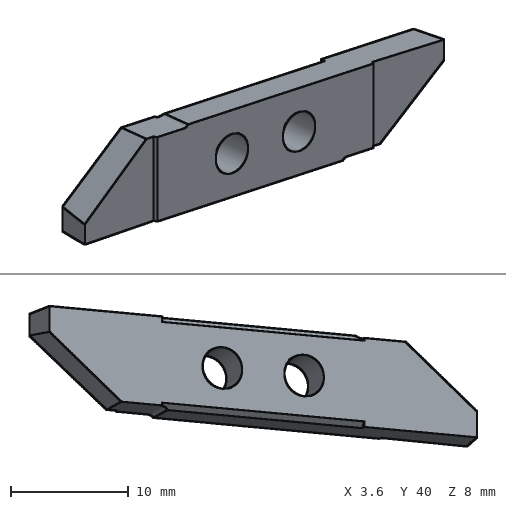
import cadquery as cq
import math

length = 40.0
thickness = 3.6
height = 8.0

ledge_depth = 0.25
ledge_step_start = 8.6
ledge_step_end = 9.1
slope_start = 13.0
slope_angle = 40.0

end_setback = 0.45
relief_start = 12.0
relief_step_run = 0.2
relief_depth = 0.3
tip_relief_depth = 0.1
tip_land_width = 0.2

chamfer_size = 0.5
chamfer_length = 18.5

hole_diameter = 3.6
hole_spacing = 7.5

half_length = length / 2
half_height = height / 2
ledge_z = half_height - ledge_depth
slope_drop = (half_length - slope_start) * math.tan(math.radians(slope_angle))


def make_side_body():
    """Side outline in YZ, unchanged by a half turn about the X axis.

    Each ledge runs out to the full height along a concave arc tangent to the ledge.
    """
    step_run = ledge_step_end - ledge_step_start
    step_radius = (step_run**2 + ledge_depth**2) / (2 * ledge_depth)
    half_sweep = math.asin(step_run / step_radius) / 2
    arc_mid_y = ledge_step_end - step_radius * math.sin(half_sweep)
    arc_mid_z = ledge_z + step_radius * (1 - math.cos(half_sweep))

    outline = cq.Workplane("YZ").moveTo(half_length, half_height)
    for sign in (1, -1):
        outline = (
            outline.lineTo(-sign * ledge_step_start, sign * half_height)
            .threePointArc(
                (-sign * arc_mid_y, sign * arc_mid_z),
                (-sign * ledge_step_end, sign * ledge_z),
            )
            .lineTo(-sign * slope_start, sign * ledge_z)
            .lineTo(-sign * half_length, sign * (ledge_z - slope_drop))
            .lineTo(-sign * half_length, -sign * half_height)
        )
    return outline.close().extrude(thickness)


def make_plan_body():
    """Plan outline in XY: slanted ends with square lands, and sloping reliefs in the +X face."""
    relief_x = thickness - relief_depth
    tip_x = thickness - tip_relief_depth
    upper_half = [
        (thickness, relief_start),
        (relief_x, relief_start + relief_step_run),
        (tip_x, half_length),
        (tip_x - tip_land_width, half_length),
        (0, half_length - end_setback),
    ]
    lower_half = [(x, -y) for x, y in reversed(upper_half)]
    outline = upper_half + lower_half
    return cq.Workplane("XY").polyline(outline).close().extrude(half_height, both=True)


def make_edge_chamfer(side):
    """Triangular cutter for the top (side=1) or bottom (side=-1) edge of the -X face."""
    triangle = [
        (0, side * half_height),
        (chamfer_size, side * half_height),
        (0, side * (half_height - chamfer_size)),
    ]
    return cq.Workplane("XZ").polyline(triangle).close().extrude(chamfer_length / 2, both=True)


def make_holes():
    """Pair of through holes along X."""
    return (
        cq.Workplane("YZ")
        .rarray(hole_spacing, 0.4, 2, 1)
        .circle(hole_diameter / 2)
        .extrude(thickness)
    )


result = make_side_body().intersect(make_plan_body())
for side in (1, -1):
    result = result.cut(make_edge_chamfer(side))
result = result.cut(make_holes())